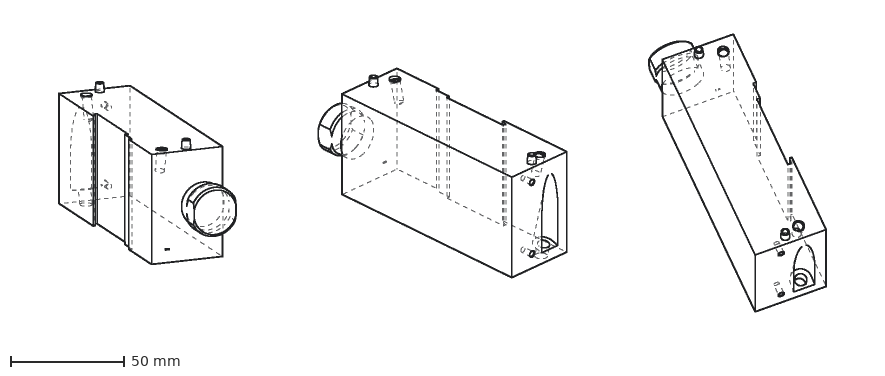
import cadquery as cq
import math

LENGTH = 107.5
WIDTH = 33.9
HEIGHT = 50.4

RECESS_DEPTH = 3.0
STEP_DEPTH = RECESS_DEPTH / 2
RECESS_START = 37.1
LIP_END = 39.8
STEP_START = 72.9
STEP_END = 81.0
LIP_ROOT_THICKNESS = 1.6
LIP_TIP_THICKNESS = 1.1

PIN_INSET = 3.7
PIN_Y = 18.0
PIN_HEIGHT = 4.15
PIN_BASE_DIAMETER = 4.13
PIN_NECK_DIAMETER = 3.5
PIN_TIP_DIAMETER = 2.46
PIN_TIP_HEIGHT = 0.3

TILT = math.radians(14)
LEFT_SCREW_Y = 10.5
RIGHT_SCREW_Y = 7.5
TOP_HOLE_INSET = 6.4
TOP_HOLE_DIAMETER = 4.13
TOP_HOLE_SEAT_DEPTH = 0.75
TOP_HOLE_DEPTH = 10.0
TOP_HOLE_MOUTH_DIAMETER = 5.0
DRILL_POINT_ANGLE = math.radians(118)

POCKET_DIAMETER = 10.0
POCKET_FLOOR_HEIGHT = 5.5
POCKET_AXIS_HEIGHT = 22.7
SCREW_HOLE_DIAMETER = 5.5

SIDE_HOLE_DIAMETER = 2.46
SIDE_HOLE_MOUTH_DIAMETER = 3.0
SIDE_HOLE_DEPTH = 6.0
SIDE_HOLE_Y = 21.4
SIDE_HOLE_HEIGHTS = (7.1, 43.1)

GLAND_LENGTH = 14.45
GLAND_FLATS = 20.0
GLAND_Y = 24.4
GLAND_Z = 25.0
COLLAR_DIAMETER = 20.3
COLLAR_LENGTH = 5.8
HEAD_DIAMETER = 22.4
HEAD_CHAMFER = 1.05

NIB_PROTRUSION = 0.35
NIB_WIDTH = 1.8
NIB_HEIGHT = 0.4
NIB_Z = 6.2

OVERSHOOT = 2.0


def housing_block():
    """Block whose plan outline carries the undercut lip and stepped rail recess."""
    return (
        cq.Workplane("XY")
        .moveTo(0, 0)
        .lineTo(LIP_END, 0)
        .lineTo(LIP_END, LIP_TIP_THICKNESS)
        .lineTo(RECESS_START, LIP_ROOT_THICKNESS)
        .lineTo(RECESS_START, RECESS_DEPTH)
        .lineTo(STEP_START, RECESS_DEPTH)
        .lineTo(STEP_START, STEP_DEPTH)
        .lineTo(STEP_END, STEP_DEPTH)
        .lineTo(STEP_END, 0)
        .lineTo(LENGTH, 0)
        .lineTo(LENGTH, WIDTH)
        .lineTo(0, WIDTH)
        .close()
        .extrude(HEIGHT)
    )


def locating_pin(x):
    """Tapered pin with a chamfered tip, standing on the top face."""
    base_radius = PIN_BASE_DIAMETER / 2
    neck_radius = PIN_NECK_DIAMETER / 2
    tip_radius = PIN_TIP_DIAMETER / 2
    return (
        cq.Workplane("XZ")
        .moveTo(0, -OVERSHOOT)
        .lineTo(base_radius, -OVERSHOOT)
        .lineTo(base_radius, 0)
        .lineTo(neck_radius, PIN_HEIGHT - PIN_TIP_HEIGHT)
        .lineTo(tip_radius, PIN_HEIGHT)
        .lineTo(0, PIN_HEIGHT)
        .close()
        .revolve(360, (0, 0), (0, 1))
        .translate((x, PIN_Y, HEIGHT))
    )


def tilted_direction(inward):
    """Unit vector pointing down and leaning inward along X (inward is +1 or -1)."""
    return cq.Vector(inward * math.sin(TILT), 0, -math.cos(TILT))


def countersunk_bore(seat, direction, bore_diameter, mouth_diameter, depth):
    """Round bore with a 45 degree countersink at the seat point, opened at mouth size above it."""
    bore_radius = bore_diameter / 2
    mouth_radius = mouth_diameter / 2
    chamfer = mouth_radius - bore_radius
    entry = cq.Solid.makeCylinder(mouth_radius, OVERSHOOT, seat - direction * OVERSHOOT, direction)
    countersink = cq.Solid.makeCone(mouth_radius, bore_radius, chamfer, seat, direction)
    bore = cq.Solid.makeCylinder(bore_radius, depth - chamfer, seat + direction * chamfer, direction)
    return cq.Workplane(obj=entry.fuse(countersink, bore))


def tilted_top_hole(x, y, inward):
    """Blind countersunk hole in the top face on the tilted axis, ending in a drill point."""
    bore_radius = TOP_HOLE_DIAMETER / 2
    point_length = bore_radius / math.tan(DRILL_POINT_ANGLE / 2)
    direction = tilted_direction(inward)
    seat = cq.Vector(x, y, HEIGHT) + direction * TOP_HOLE_SEAT_DEPTH
    hole = countersunk_bore(
        seat, direction, TOP_HOLE_DIAMETER, TOP_HOLE_MOUTH_DIAMETER, TOP_HOLE_DEPTH
    )
    bore_end = seat + direction * TOP_HOLE_DEPTH
    drill_point = cq.Solid.makeCone(bore_radius, 0, point_length, bore_end, direction)
    return hole.union(cq.Workplane(obj=drill_point))


def screw_pocket():
    """Tilted round-backed pocket open to the -X face, with a screw hole down through its floor."""
    radius = POCKET_DIAMETER / 2
    direction = tilted_direction(1)
    face_to_floor = (POCKET_AXIS_HEIGHT - POCKET_FLOOR_HEIGHT) * math.cos(TILT)
    axis_at_face = cq.Vector(0, LEFT_SCREW_Y, POCKET_AXIS_HEIGHT)
    floor_center = axis_at_face + direction * face_to_floor
    floor_plane = cq.Plane(origin=floor_center, xDir=(0, 1, 0), normal=-direction)
    pocket = cq.Workplane(floor_plane).circle(radius).extrude(HEIGHT)
    opening = (
        cq.Workplane(floor_plane)
        .center(0, radius)
        .rect(POCKET_DIAMETER, POCKET_DIAMETER)
        .extrude(face_to_floor)
    )
    screw_hole = cq.Workplane(floor_plane).circle(SCREW_HOLE_DIAMETER / 2).extrude(-HEIGHT / 2)
    return pocket.union(opening).union(screw_hole)


def side_hole(z):
    """Blind countersunk hole running along +X from the -X face."""
    return countersunk_bore(
        cq.Vector(0, SIDE_HOLE_Y, z),
        cq.Vector(1, 0, 0),
        SIDE_HOLE_DIAMETER,
        SIDE_HOLE_MOUTH_DIAMETER,
        SIDE_HOLE_DEPTH,
    )


def cable_gland():
    """Round collar and chamfered head, trimmed to two wrench flats facing -Y and +Y."""
    collar_radius = COLLAR_DIAMETER / 2
    head_radius = HEAD_DIAMETER / 2
    turned = (
        cq.Workplane("XY")
        .moveTo(0, 0)
        .lineTo(0, collar_radius)
        .lineTo(COLLAR_LENGTH, collar_radius)
        .lineTo(COLLAR_LENGTH + HEAD_CHAMFER, head_radius)
        .lineTo(GLAND_LENGTH - HEAD_CHAMFER, head_radius)
        .lineTo(GLAND_LENGTH, head_radius - HEAD_CHAMFER)
        .lineTo(GLAND_LENGTH, 0)
        .close()
        .revolve(360, (0, 0), (1, 0))
    )
    flats = cq.Workplane("XY").box(2 * GLAND_LENGTH + OVERSHOOT, GLAND_FLATS, HEAD_DIAMETER + OVERSHOOT)
    return turned.intersect(flats).translate((LENGTH, GLAND_Y, GLAND_Z))


def nib():
    """Small bar standing proud of the +X face, rooted in the block."""
    return (
        cq.Workplane("YZ", origin=(LENGTH - OVERSHOOT, RIGHT_SCREW_Y, NIB_Z))
        .rect(NIB_WIDTH, NIB_HEIGHT)
        .extrude(OVERSHOOT + NIB_PROTRUSION)
    )


body = housing_block().union(cable_gland()).union(nib())
for pin_x in (PIN_INSET, LENGTH - PIN_INSET):
    body = body.union(locating_pin(pin_x))

body = body.cut(screw_pocket())
body = body.cut(tilted_top_hole(TOP_HOLE_INSET, LEFT_SCREW_Y, 1))
body = body.cut(tilted_top_hole(LENGTH - TOP_HOLE_INSET, RIGHT_SCREW_Y, -1))
for hole_z in SIDE_HOLE_HEIGHTS:
    body = body.cut(side_hole(hole_z))

result = body